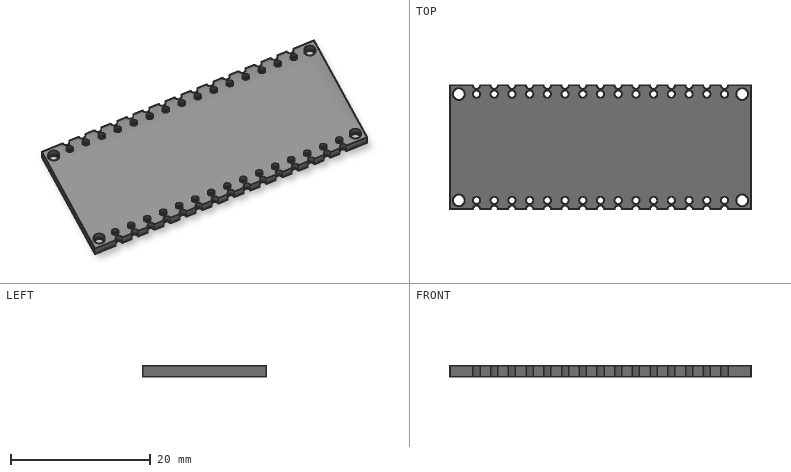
import cadquery as cq

PITCH = 2.54
BOARD_LENGTH = 17 * PITCH
BOARD_WIDTH = 7 * PITCH
BOARD_THICKNESS = 1.6

PINS_PER_ROW = 15
PIN_HOLE_DIAMETER = 1.02
MOUNT_HOLE_DIAMETER = 1.65
ROW_SPACING = BOARD_WIDTH - PITCH
MOUNT_HOLE_SPACING = BOARD_LENGTH - PITCH


def make_board():
    """Plain rectangular board centred in X and Y, resting on Z = 0."""
    return cq.Workplane("XY").box(
        BOARD_LENGTH, BOARD_WIDTH, BOARD_THICKNESS, centered=(True, True, False)
    )


def make_cylinder_grid(columns, x_spacing, y_spacing, diameter):
    """Two rows of through-board cylinders, centred on the board."""
    return (
        cq.Workplane("XY")
        .rarray(x_spacing, y_spacing, columns, 2)
        .circle(diameter / 2)
        .extrude(BOARD_THICKNESS)
    )


pin_holes = make_cylinder_grid(PINS_PER_ROW, PITCH, ROW_SPACING, PIN_HOLE_DIAMETER)

edge_notches = make_cylinder_grid(PINS_PER_ROW, PITCH, BOARD_WIDTH, PIN_HOLE_DIAMETER)

mount_holes = make_cylinder_grid(2, MOUNT_HOLE_SPACING, ROW_SPACING, MOUNT_HOLE_DIAMETER)

result = make_board().cut(pin_holes).cut(edge_notches).cut(mount_holes)